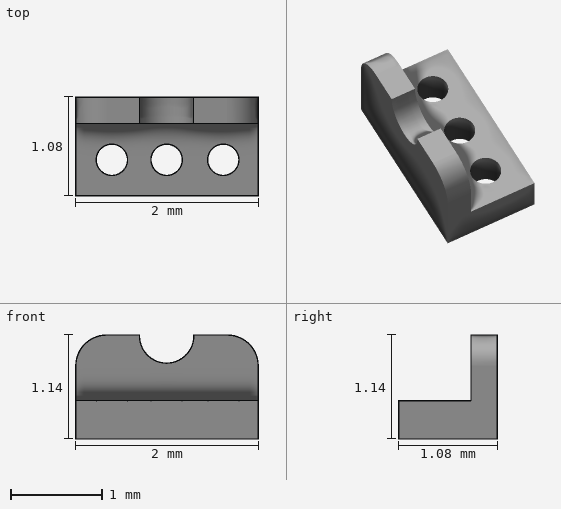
import cadquery as cq

length = 2.0
depth = 1.08
height = 1.14
base_height = 0.42
wall_thickness = 0.29
corner_radius = 0.34

notch_radius = 0.295
notch_depth = 0.308
notch_x = 0.995

hole_diameter = 0.34
hole_y = 0.395
hole_positions_x = (0.395, 0.995, 1.615)


def make_base():
    return cq.Workplane("XY").box(length, depth, base_height, centered=False)


def make_wall():
    """Upright wall along the back, with rounded upper corners."""
    wall = (
        cq.Workplane("XY")
        .box(length, wall_thickness, height, centered=False)
        .translate((0, depth - wall_thickness, 0))
    )
    return wall.edges("|Y and >Z").fillet(corner_radius)


def make_notch():
    """U-shaped cutter: a half round below straight sides open at the top."""
    arc_center_z = height - notch_depth + notch_radius
    left = notch_x - notch_radius
    right = notch_x + notch_radius
    return (
        cq.Workplane("XZ", origin=(0, depth, 0))
        .moveTo(left, height)
        .lineTo(left, arc_center_z)
        .threePointArc((notch_x, height - notch_depth), (right, arc_center_z))
        .lineTo(right, height)
        .close()
        .extrude(wall_thickness)
    )


def make_holes():
    return (
        cq.Workplane("XY")
        .pushPoints([(x, hole_y) for x in hole_positions_x])
        .circle(hole_diameter / 2)
        .extrude(base_height)
    )


result = make_base().union(make_wall()).cut(make_notch()).cut(make_holes())